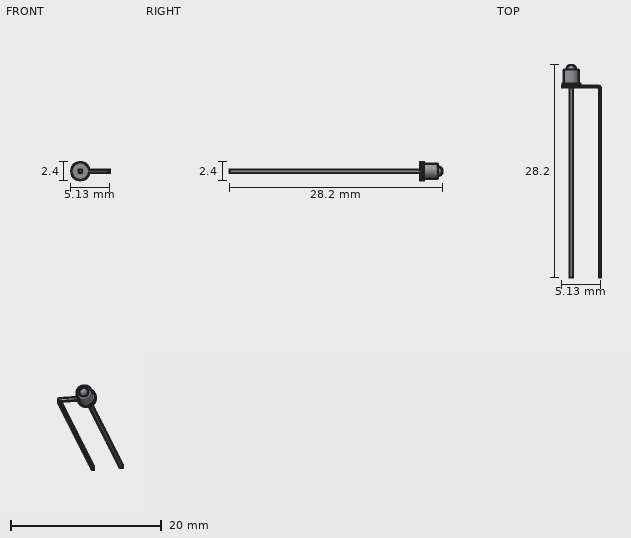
import cadquery as cq
import math

overall_length = 28.2
overall_width = 5.13
flange_diameter = 2.4

cap_height = 2.37
can_radius = 1.01
can_edge_radius = 0.23
root_fillet_radius = 0.08
dome_radius = 0.62

sheet_thickness = 0.25
pin_radius = 0.25
lead_width = 0.45
bend_inner_radius = 0.25

flange_radius = flange_diameter / 2
dome_tip_y = cap_height + dome_radius
lead_end_y = dome_tip_y - overall_length
lead_outer_x = overall_width - flange_radius
lead_inner_x = lead_outer_x - sheet_thickness
flange_top_y = 2 * sheet_thickness
bend_outer_radius = bend_inner_radius + sheet_thickness


def disc(radius, start_y, end_y):
    """Cylinder on the Y axis between two Y positions, with end_y above start_y."""
    return cq.Workplane("XZ", origin=(0, start_y, 0)).circle(radius).extrude(start_y - end_y)


def make_cap():
    """Solid of revolution: thin flange, can, rounded shoulder and hemispherical dome."""
    diagonal = math.sqrt(0.5)
    root_x = can_radius + root_fillet_radius
    root_y = flange_top_y + root_fillet_radius
    shoulder_x = can_radius - can_edge_radius
    shoulder_y = cap_height - can_edge_radius
    root_midpoint = (root_x - root_fillet_radius * diagonal, root_y - root_fillet_radius * diagonal)
    shoulder_midpoint = (shoulder_x + can_edge_radius * diagonal, shoulder_y + can_edge_radius * diagonal)
    dome_midpoint = (dome_radius * diagonal, cap_height + dome_radius * diagonal)
    return (
        cq.Workplane("XY")
        .moveTo(0, sheet_thickness)
        .lineTo(flange_radius, sheet_thickness)
        .lineTo(flange_radius, flange_top_y)
        .lineTo(root_x, flange_top_y)
        .threePointArc(root_midpoint, (can_radius, root_y))
        .lineTo(can_radius, shoulder_y)
        .threePointArc(shoulder_midpoint, (shoulder_x, cap_height))
        .lineTo(dome_radius, cap_height)
        .threePointArc(dome_midpoint, (0, dome_tip_y))
        .close()
        .revolve(360, (0, 0, 0), (0, 1, 0))
    )


def make_flat_lead():
    """Strip that leaves the disc along X and bends to run along -Y."""
    strip = (
        cq.Workplane("XY", origin=(0, 0, -lead_width / 2))
        .moveTo(0, 0)
        .lineTo(lead_inner_x, 0)
        .lineTo(lead_inner_x, lead_end_y)
        .lineTo(lead_outer_x, lead_end_y)
        .lineTo(lead_outer_x, sheet_thickness)
        .lineTo(0, sheet_thickness)
        .close()
        .extrude(lead_width)
    )
    inner_corner = cq.selectors.NearestToPointSelector((lead_inner_x, 0, 0))
    outer_corner = cq.selectors.NearestToPointSelector((lead_outer_x, sheet_thickness, 0))
    strip = strip.edges("|Z").edges(inner_corner).fillet(bend_inner_radius)
    return strip.edges("|Z").edges(outer_corner).fillet(bend_outer_radius)


def make_header():
    """Base disc, central round pin and flat lead as one piece."""
    base = disc(flange_radius, 0, sheet_thickness)
    pin = disc(pin_radius, lead_end_y, 0)
    return base.union(pin).union(make_flat_lead())


cap = make_cap()
header = make_header()

result = cq.Compound.makeCompound([cap.val(), header.val()])